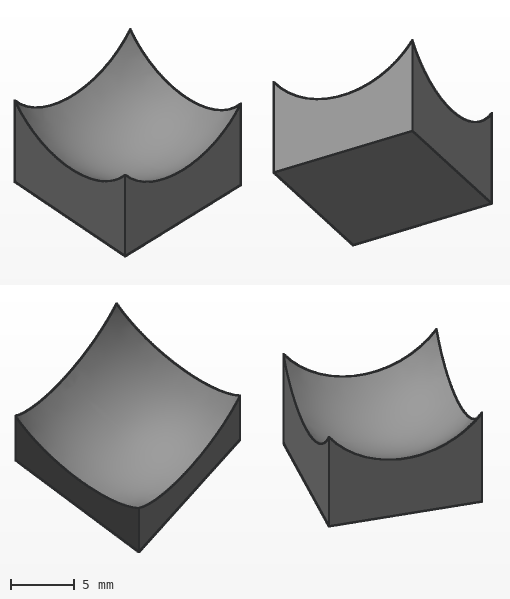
import cadquery as cq

side = 12.5
sphere_radius = 10.0
floor_thickness = 3.0

sphere_center_height = floor_thickness + sphere_radius

block = cq.Workplane("XY").box(side, side, sphere_center_height, centered=(True, True, False))

seat = cq.Workplane("XY").sphere(sphere_radius).translate((0, 0, sphere_center_height))

result = block.cut(seat)